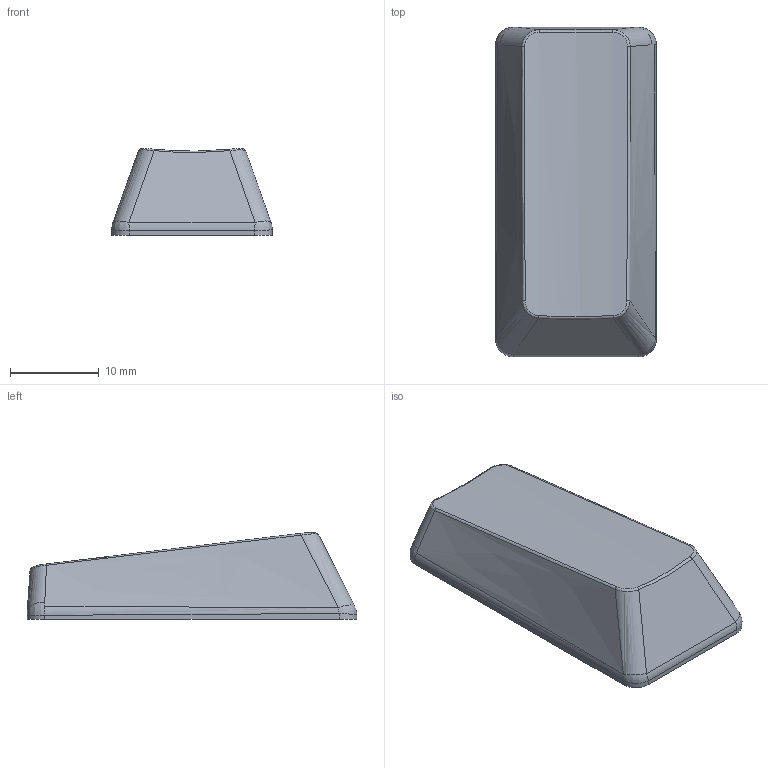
import cadquery as cq
import math

BASE_WIDTH = 18.16
BASE_LENGTH = 37.21
SKIRT_HEIGHT = 1.0

TOP_WIDTH = 11.96
TOP_FRONT_INSET = 4.55
TOP_BACK_INSET = 0.36
TOP_FRONT_HEIGHT = 10.01
TOP_SLOPE_DEGREES = 6.88

DISH_RADIUS = 40.0
DISH_RIM_DROP = 0.05

OUTER_EDGE_RADIUS = 2.0
RIM_RADIUS = 0.3

TOP_FRONT_Y = -BASE_LENGTH / 2 + TOP_FRONT_INSET
TOP_BACK_Y = BASE_LENGTH / 2 - TOP_BACK_INSET
TOP_SLOPE = math.radians(TOP_SLOPE_DEGREES)
TOP_LENGTH = (TOP_BACK_Y - TOP_FRONT_Y) / math.cos(TOP_SLOPE)
TOP_CENTER_Y = (TOP_FRONT_Y + TOP_BACK_Y) / 2
TOP_CENTER_Z = TOP_FRONT_HEIGHT - TOP_LENGTH / 2 * math.sin(TOP_SLOPE)

SKIRT_PLANE = cq.Plane(origin=(0, 0, SKIRT_HEIGHT))
TOP_PLANE = cq.Plane(
    origin=(0, TOP_CENTER_Y, TOP_CENTER_Z),
    xDir=(1, 0, 0),
    normal=(0, math.sin(TOP_SLOPE), math.cos(TOP_SLOPE)),
)


def make_skirt():
    """Straight-sided band around the foot of the cap, with sharp corners."""
    return cq.Workplane("XY").rect(BASE_WIDTH, BASE_LENGTH).extrude(SKIRT_HEIGHT)


def make_upper_body():
    """Sharp-cornered tapered body with ruled walls from the skirt up to the sloping top."""
    lower = cq.Workplane(SKIRT_PLANE).rect(BASE_WIDTH, BASE_LENGTH).val()
    upper = cq.Workplane(TOP_PLANE).rect(TOP_WIDTH, TOP_LENGTH).val()
    return cq.Workplane(cq.Solid.makeLoft([lower, upper], True))


def make_dish_cutter():
    """Cylinder along the slope that hollows the top from side to side."""
    half_width = TOP_WIDTH / 2
    axis_height = math.sqrt(DISH_RADIUS**2 - half_width**2) - DISH_RIM_DROP
    axis_direction = TOP_PLANE.yDir
    start = TOP_PLANE.toWorldCoords((0, -TOP_LENGTH, axis_height))
    return cq.Workplane(cq.Solid.makeCylinder(DISH_RADIUS, 2 * TOP_LENGTH, start, axis_direction))


def is_outer_edge(edge):
    """True for the corner edges and the shoulder, false for the foot and the top outline."""
    middle = edge.Center()
    nearness = SKIRT_HEIGHT / 4
    on_foot = middle.z < nearness
    on_top = abs(TOP_PLANE.toLocalCoords(middle).z) < nearness
    return not (on_foot or on_top)


def make_keycap():
    """Skirt and body joined and rounded, then dished on top with a rounded rim."""
    body = make_skirt().union(make_upper_body())
    outer_edges = body.edges().filter(is_outer_edge)
    body = outer_edges.fillet(OUTER_EDGE_RADIUS)
    body = body.cut(make_dish_cutter())
    dish = body.faces("%CYLINDER").faces(">Z")
    return dish.edges().fillet(RIM_RADIUS)


result = make_keycap()